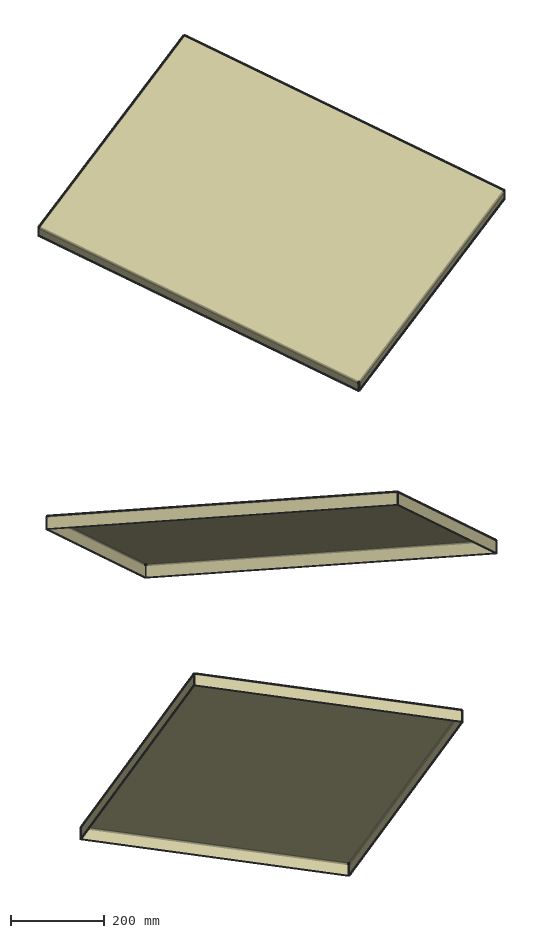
import cadquery as cq

LENGTH = 803.0
WIDTH = 603.0
HEIGHT = 30.0
SHEET_THICKNESS = 1.5

INNER_BEND_RADIUS = 1.5
OUTER_BEND_RADIUS = INNER_BEND_RADIUS + SHEET_THICKNESS

CORNER_SLIT = 0.2
FLANGE_END_INSET = SHEET_THICKNESS + CORNER_SLIT

BEND_START_Z = HEIGHT - OUTER_BEND_RADIUS


def top_sheet():
    """Flat top, reaching out to the start of each bend."""
    return (
        cq.Workplane("XY")
        .workplane(offset=HEIGHT - SHEET_THICKNESS)
        .rect(LENGTH - 2 * OUTER_BEND_RADIUS, WIDTH - 2 * OUTER_BEND_RADIUS)
        .extrude(SHEET_THICKNESS)
    )


def bend(outer_distance, side_length):
    """Quarter-round bend facing +X, as long as the flat top is on that side."""
    bend_centre_x = outer_distance - OUTER_BEND_RADIUS
    bend_length = side_length - 2 * OUTER_BEND_RADIUS

    def quarter_cylinder(radius):
        return (
            cq.Workplane("XZ", origin=(bend_centre_x, 0, BEND_START_Z))
            .lineTo(radius, 0)
            .radiusArc((0, radius), -radius)
            .close()
            .extrude(bend_length / 2, both=True)
        )

    return quarter_cylinder(OUTER_BEND_RADIUS).cut(quarter_cylinder(INNER_BEND_RADIUS))


def flange(outer_distance, side_length):
    """Straight vertical wall facing +X, running past the ends of its bend."""
    flange_length = side_length - 2 * FLANGE_END_INSET
    return (
        cq.Workplane("XY")
        .center(outer_distance - SHEET_THICKNESS / 2, 0)
        .rect(SHEET_THICKNESS, flange_length)
        .extrude(BEND_START_Z)
    )


def folded_side(outer_distance, side_length, turn):
    """One bend with its flange, turned about Z to face its own side."""
    side = bend(outer_distance, side_length).union(flange(outer_distance, side_length))
    return side.rotate((0, 0, 0), (0, 0, 1), turn)


def folded_tray():
    """Top sheet joined to its four folded sides."""
    tray = top_sheet()
    for turn in (0, 180):
        tray = tray.union(folded_side(LENGTH / 2, WIDTH, turn))
        tray = tray.union(folded_side(WIDTH / 2, LENGTH, turn + 90))
    return tray


result = folded_tray()